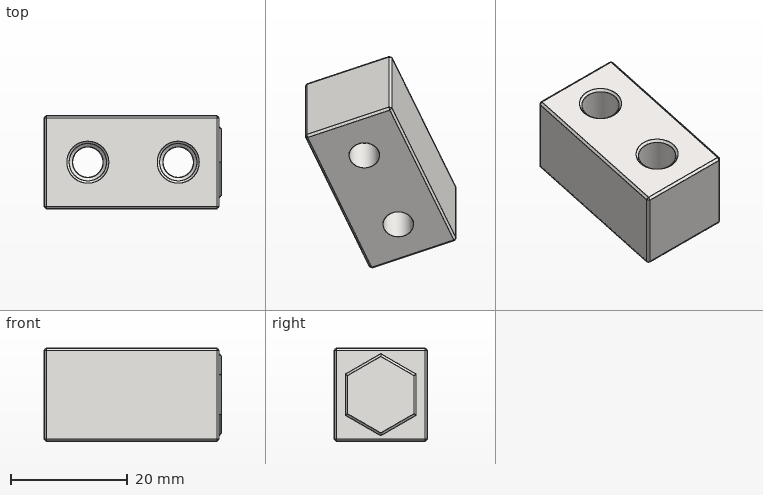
import cadquery as cq
import math

block_length = 30.0
block_side = 16.0
edge_chamfer = 0.4

upper_bore_diameter = 6.4
lower_bore_diameter = 5.2
upper_bore_depth = block_side / 2
bore_step_height = (upper_bore_diameter - lower_bore_diameter) / 2
hole_chamfer = 0.4
first_hole_x = 7.5
hole_spacing = 15.5

pad_side_count = 6
pad_height = 0.4
pad_across_corners = 14.05
pad_taper = 45.0


def make_block():
    block = cq.Workplane("XY").box(block_length, block_side, block_side, centered=(False, True, True))
    return block.edges().chamfer(edge_chamfer)


def make_hole_cutter(x):
    """Revolved void of one hole, from the bottom face to the top face."""
    top_z = block_side / 2
    bottom_z = -block_side / 2
    upper_radius = upper_bore_diameter / 2
    step_z = top_z - upper_bore_depth
    lower_radius = lower_bore_diameter / 2
    profile = (
        cq.Workplane("XZ")
        .moveTo(0, bottom_z)
        .lineTo(lower_radius, bottom_z)
        .lineTo(lower_radius, step_z - bore_step_height)
        .lineTo(upper_radius, step_z)
        .lineTo(upper_radius, top_z - hole_chamfer)
        .lineTo(upper_radius + hole_chamfer, top_z)
        .lineTo(0, top_z)
        .close()
    )
    return profile.revolve(360, (0, 0, 0), (0, 1, 0)).translate((x, 0, 0))


def make_pad():
    corner_radius = pad_across_corners / 2
    corners = []
    for i in range(pad_side_count):
        angle = math.pi / 2 + i * math.tau / pad_side_count
        corners.append((corner_radius * math.cos(angle), corner_radius * math.sin(angle)))
    pad_plane = cq.Workplane("YZ").workplane(offset=block_length)
    return pad_plane.polyline(corners).close().extrude(pad_height, taper=pad_taper)


result = make_block().union(make_pad())
for hole_x in (first_hole_x, first_hole_x + hole_spacing):
    result = result.cut(make_hole_cutter(hole_x))